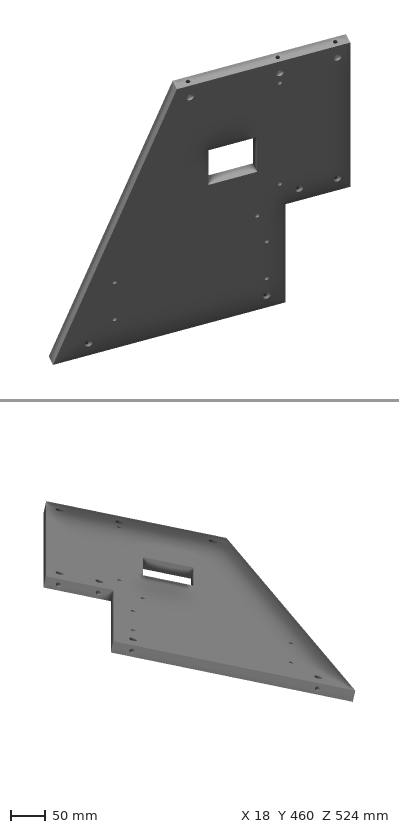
import cadquery as cq

thickness = 18.0
depth = 460.0
height = 524.0
top_length = 268.5
notch_depth = 100.0
notch_height = 212.0

window_size = 75.0
window_setback = 144.0
window_bottom = 298.5

cross_hole_diameter = 12.0
cross_hole_inset = 25.0
small_hole_diameter = 7.0

end_setback = 20.0
middle_setback = 109.0
lower_setback = 129.5
top_setbacks = [end_setback, middle_setback, 248.0]
notch_setbacks = [end_setback, 79.0]
bottom_setbacks = [lower_setback, 405.0]

small_holes = [
    (middle_setback, 478.0),
    (middle_setback, 259.5),
    (window_setback, 204.0),
]
small_grid_setbacks = [lower_setback, 364.5]
small_grid_heights = [63.0, 142.5]
small_holes += [(s, z) for s in small_grid_setbacks for z in small_grid_heights]

back = depth / 2
front = -depth / 2


def face_hole(setback, z, diameter):
    """Cylinder through the full plate thickness."""
    origin = cq.Vector(-thickness / 2, back - setback, z)
    return cq.Solid.makeCylinder(diameter / 2, thickness, origin, cq.Vector(1, 0, 0))


def edge_hole(setback, edge_z, direction):
    """Screw hole from a horizontal edge to the centre of its cross hole."""
    origin = cq.Vector(0, back - setback, edge_z)
    return cq.Solid.makeCylinder(
        small_hole_diameter / 2, cross_hole_inset, origin, cq.Vector(0, 0, direction)
    )


outline = [
    (front, 0),
    (back - notch_depth, 0),
    (back - notch_depth, notch_height),
    (back, notch_height),
    (back, height),
    (back - top_length, height),
]
plate = cq.Workplane("YZ").polyline(outline).close().extrude(thickness / 2, both=True)

window = cq.Workplane("XY").box(thickness, window_size, window_size).translate(
    (0, back - window_setback - window_size / 2, window_bottom + window_size / 2)
)
result = plate.cut(window)

joint_edges = [
    (top_setbacks, height, -1),
    (notch_setbacks, notch_height, 1),
    (bottom_setbacks, 0, 1),
]
for setbacks, edge_z, direction in joint_edges:
    for setback in setbacks:
        cross_z = edge_z + direction * cross_hole_inset
        result = result.cut(cq.Workplane(face_hole(setback, cross_z, cross_hole_diameter)))
        result = result.cut(cq.Workplane(edge_hole(setback, edge_z, direction)))

for setback, z in small_holes:
    result = result.cut(cq.Workplane(face_hole(setback, z, small_hole_diameter)))